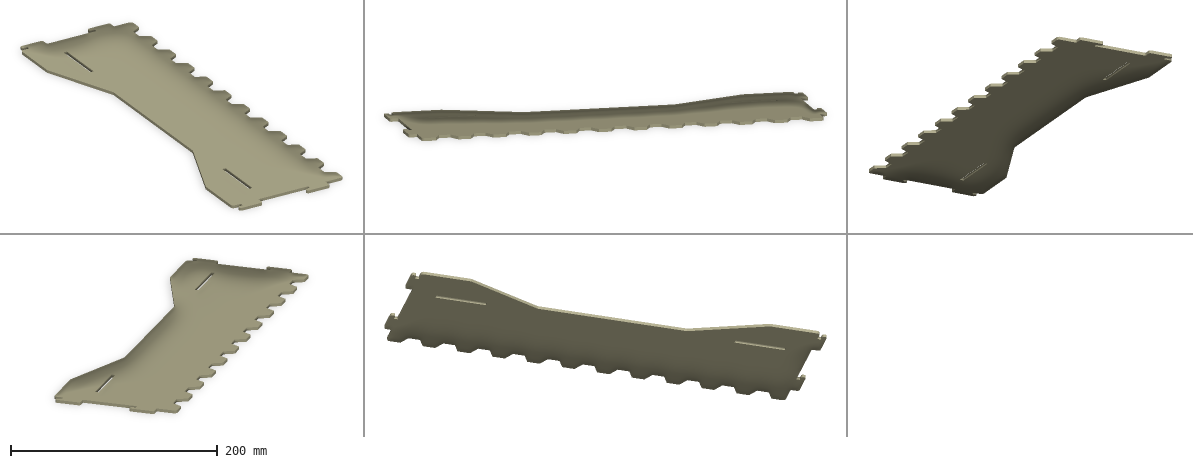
import cadquery as cq

overall_length = 417.0
plate_depth = 125.0
thickness = 3.0
tab_reach = 8.5
body_half_length = overall_length / 2 - tab_reach
top_y = plate_depth / 2
bottom_y = -plate_depth / 2
corner_radius = 3.0

notch_count = 11
notch_pitch = 35.0
notch_mouth = 22.5
notch_floor = 11.5
notch_depth = 10.0

first_tab_drop = 20.0
tab_spacing = 75.5
tab_height = 20.0
hook_drop = 5.5
hook_gap = 3.8
tab_radius = 2.0

relief_depth = 30.0
relief_floor_half = 75.0
relief_mouth_half = 150.0

slot_length = 51.0
slot_width = 3.8
slot_x = 150.0
slot_y = -27.0


def extrude_outline(points):
    return cq.Workplane("XY").polyline(points).close().extrude(thickness)


def make_body():
    body = cq.Workplane("XY").box(
        2 * body_half_length, plate_depth, thickness, centered=(True, True, False)
    )
    return body.edges("|Z").fillet(corner_radius)


def make_notch(center_x):
    floor_y = top_y - notch_depth
    return extrude_outline([
        (center_x - notch_mouth / 2, top_y),
        (center_x - notch_floor / 2, floor_y),
        (center_x + notch_floor / 2, floor_y),
        (center_x + notch_mouth / 2, top_y),
    ])


def make_relief():
    floor_y = bottom_y + relief_depth
    return extrude_outline([
        (-relief_mouth_half, bottom_y),
        (-relief_floor_half, floor_y),
        (relief_floor_half, floor_y),
        (relief_mouth_half, bottom_y),
    ])


def make_right_tab(tab_top):
    """Tab on the +X end, with a hook pointing toward -Y."""
    root_x = body_half_length
    tip_x = overall_length / 2
    shoulder_y = tab_top - tab_height
    tab = extrude_outline([
        (root_x, tab_top),
        (tip_x, tab_top),
        (tip_x, shoulder_y - hook_drop),
        (root_x + hook_gap, shoulder_y - hook_drop),
        (root_x + hook_gap, shoulder_y),
        (root_x, shoulder_y),
    ])
    return tab.edges("|Z and (>X or <Y)").fillet(tab_radius)


def make_slot(center_x):
    return (
        cq.Workplane("XY")
        .center(center_x, slot_y)
        .rect(slot_length, slot_width)
        .extrude(thickness)
    )


result = make_body().cut(make_relief())

for index in range(notch_count):
    notch_x = (index - (notch_count - 1) / 2) * notch_pitch
    result = result.cut(make_notch(notch_x))

for tab_top in (top_y - first_tab_drop, top_y - first_tab_drop - tab_spacing):
    right_tab = make_right_tab(tab_top)
    result = result.union(right_tab).union(right_tab.mirror("YZ"))

for side in (-1, 1):
    result = result.cut(make_slot(side * slot_x))